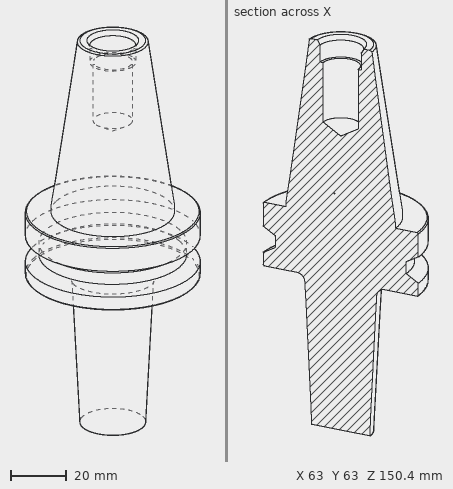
import cadquery as cq
import math

total_length = 150.4

taper_length = 65.4
gauge_radius = 22.3
taper_per_length = 7 / 24
tip_chamfer_width = 0.9
tip_chamfer_height = 0.5

flange_diameter = 63.0
flange_radius = flange_diameter / 2
flange_gap = 2.0
flange_height = 25.0
flange_chamfer = 0.5
groove_radius = 26.6
groove_floor_height = 4.5
groove_center_below_top = 14.6
groove_wall_angle = 30

nose_end_radius = 11.9
nose_angle = 2.9
nose_fillet = 3.0

mouth_radius = 9.3
pilot_radius = 8.3
pilot_depth = 8.4
tapping_radius = 7.0
tapping_depth = 31.6
countersink_half_angle = 30
drill_half_angle = 60

tip_radius = gauge_radius - taper_length * taper_per_length / 2
flange_top = -flange_gap
flange_bottom = flange_top - flange_height
nose_end = taper_length - total_length
groove_center = flange_top - groove_center_below_top
groove_top = groove_center + groove_floor_height / 2
groove_bottom = groove_center - groove_floor_height / 2
groove_wall_height = (flange_radius - groove_radius) * math.tan(math.radians(groove_wall_angle))


def revolve_profile(sketch):
    """Close a half profile (radius, height) and turn it about the Z axis."""
    return sketch.close().revolve(360, (0, 0, 0), (0, 1, 0))


def make_taper_and_flange():
    chamfered_radius = flange_radius - flange_chamfer
    sketch = (
        cq.Workplane("XZ")
        .moveTo(0, taper_length)
        .lineTo(tip_radius - tip_chamfer_width, taper_length)
        .lineTo(tip_radius + tip_chamfer_height * taper_per_length / 2, taper_length - tip_chamfer_height)
        .lineTo(gauge_radius, 0)
        .lineTo(gauge_radius, flange_top)
        .lineTo(chamfered_radius, flange_top)
        .lineTo(flange_radius, flange_top - flange_chamfer)
        .lineTo(flange_radius, groove_top + groove_wall_height)
        .lineTo(groove_radius, groove_top)
        .lineTo(groove_radius, groove_bottom)
        .lineTo(flange_radius, groove_bottom - groove_wall_height)
        .lineTo(flange_radius, flange_bottom + flange_chamfer)
        .lineTo(chamfered_radius, flange_bottom)
        .lineTo(0, flange_bottom)
    )
    return revolve_profile(sketch)


def make_nose():
    """Conical nose whose root fillet is tangent to the cone and to the flange."""
    angle = math.radians(nose_angle)
    fillet_center_z = flange_bottom - nose_fillet
    cone_radius_there = nose_end_radius + (fillet_center_z - nose_end) * math.tan(angle)
    fillet_center_r = cone_radius_there + nose_fillet / math.cos(angle)

    def fillet_point(degrees):
        turn = math.radians(degrees)
        return (
            fillet_center_r + nose_fillet * math.cos(turn),
            fillet_center_z + nose_fillet * math.sin(turn),
        )

    cone_tangent = 180 - nose_angle
    flange_tangent = 90
    sketch = (
        cq.Workplane("XZ")
        .moveTo(0, nose_end)
        .lineTo(nose_end_radius, nose_end)
        .lineTo(*fillet_point(cone_tangent))
        .threePointArc(
            fillet_point((cone_tangent + flange_tangent) / 2),
            fillet_point(flange_tangent),
        )
        .lineTo(0, flange_bottom)
    )
    return revolve_profile(sketch)


def make_end_hole():
    """Countersunk pilot bore with a flat floor, and a tapping hole with a drill point."""
    mouth_depth = (mouth_radius - pilot_radius) / math.tan(math.radians(countersink_half_angle))
    point_depth = tapping_radius / math.tan(math.radians(drill_half_angle))
    sketch = (
        cq.Workplane("XZ")
        .moveTo(0, taper_length)
        .lineTo(mouth_radius, taper_length)
        .lineTo(pilot_radius, taper_length - mouth_depth)
        .lineTo(pilot_radius, taper_length - pilot_depth)
        .lineTo(tapping_radius, taper_length - pilot_depth)
        .lineTo(tapping_radius, taper_length - tapping_depth)
        .lineTo(0, taper_length - tapping_depth - point_depth)
    )
    return revolve_profile(sketch)


result = make_taper_and_flange().union(make_nose()).cut(make_end_hole())